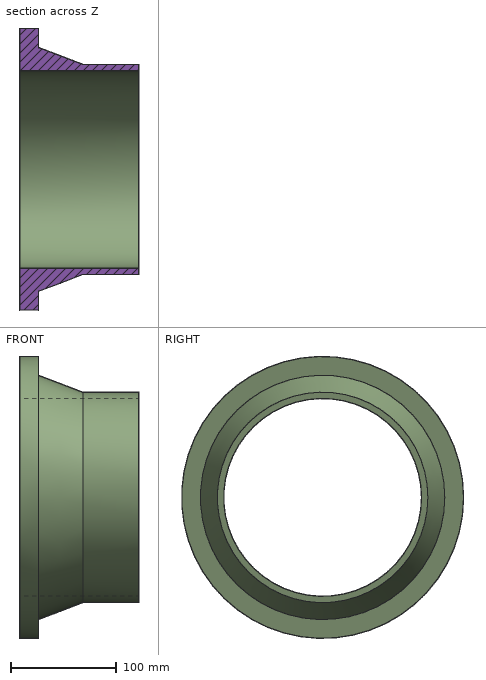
import cadquery as cq

total_length = 113.0
flange_diameter = 268.0
flange_thickness = 18.0
cone_base_diameter = 232.0
cone_end = 60.0
neck_diameter = 200.0
bore_diameter = 187.5

flange_radius = flange_diameter / 2
cone_base_radius = cone_base_diameter / 2
neck_radius = neck_diameter / 2
bore_radius = bore_diameter / 2

half_section = (
    cq.Workplane("XY")
    .moveTo(0, bore_radius)
    .lineTo(0, flange_radius)
    .lineTo(flange_thickness, flange_radius)
    .lineTo(flange_thickness, cone_base_radius)
    .lineTo(cone_end, neck_radius)
    .lineTo(total_length, neck_radius)
    .lineTo(total_length, bore_radius)
    .close()
)

result = half_section.revolve(360, (0, 0, 0), (1, 0, 0))